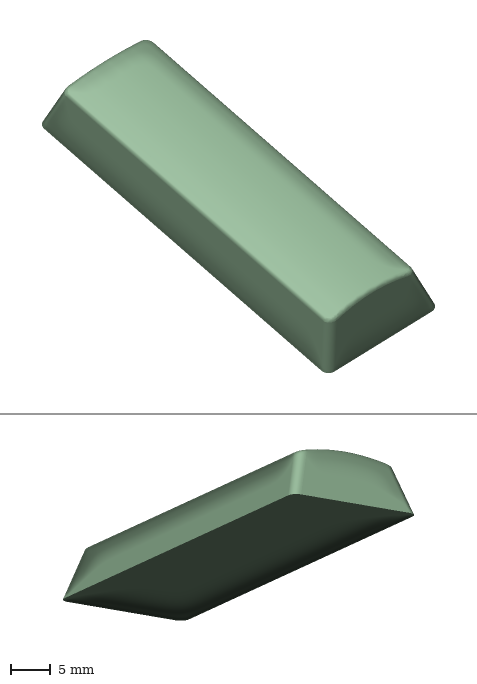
import cadquery as cq
import math

length = 56.4
width = 18.3
height = 7.5

wall_lean = 17.8
corner_radius = 1.25
crown_radius = 24.55
rim_radius = 0.6


def tapered_block():
    """Four-sided block with leaning walls and rounded corner edges."""
    block = cq.Workplane("XY").rect(length, width).extrude(height, taper=wall_lean)
    return block.edges("not (|X or |Y)").fillet(corner_radius)


def crown_cutter():
    """Everything above the arched top, which peaks along the centre line."""
    half_width = width / 2
    arch_drop = crown_radius - math.sqrt(crown_radius**2 - half_width**2)
    arch_foot_z = height - arch_drop
    clear_z = 2 * height
    return (
        cq.Workplane("YZ")
        .moveTo(-half_width, arch_foot_z)
        .threePointArc((0, height), (half_width, arch_foot_z))
        .lineTo(half_width, clear_z)
        .lineTo(-half_width, clear_z)
        .close()
        .extrude(length / 2, both=True)
    )


crowned_cap = tapered_block().cut(crown_cutter())
result = crowned_cap.faces(">Z").edges().fillet(rim_radius)